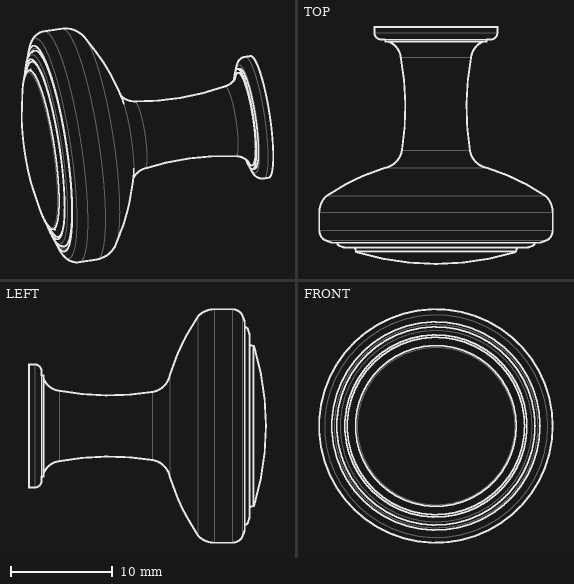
import cadquery as cq

total_length = 23.32

foot_radius = 6.06
foot_thickness = 1.25
foot_edge_round = 0.7
collar_radius = 5.0
collar_height = 0.2
collar_depth = foot_thickness + collar_height

flare_radius = 4.62
flare_bulge = 0.25
stem_back_radius = 3.47
stem_back_depth = 2.98
stem_front_radius = 3.35
stem_front_depth = 12.15
stem_waist = 0.4

head_back_radius = 5.04
head_back_depth = 13.85
back_bulge = 0.23
shoulder_radius = 10.77
shoulder_depth = 16.6
rim_radius = 11.5
rim_back_depth = 18.21
shoulder_bulge = 0.19
rim_front_depth = 19.99
bevel_outer_radius = 10.95
bevel_outer_depth = 20.96
bevel_inner_radius = 10.24
bevel_inner_depth = 21.25

lip_width = 0.23
lip_drop = 0.07
ring_radius = 9.75
ledge_depth = bevel_inner_depth - lip_drop
ring_edge_radius = 9.42
ring_edge_depth = 21.57
ring_edge_bulge = 0.1
ring_crest_radius = 8.95
ring_crest_depth = 21.73

groove_radius = ring_crest_radius - lip_width
groove_depth = ring_crest_depth - lip_drop
disc_radius = 7.9
disc_depth = 22.04
disc_edge_bulge = 0.02
dome_radius = 7.75
dome_depth = 22.18
groove_round = ((groove_radius - disc_radius) ** 2 + (disc_depth - groove_depth) ** 2) / (
    2 * (groove_radius - disc_radius)
)
dome_height = total_length - dome_depth
dome_curve_radius = (dome_radius**2 + dome_height**2) / (2 * dome_height)


def at(radius, depth):
    """Profile point at a distance from the axis and a depth from the mounting face."""
    return (radius, -depth)


def draw_foot(profile):
    return (
        profile.lineTo(*at(foot_radius, 0))
        .lineTo(*at(foot_radius, foot_thickness - foot_edge_round))
        .tangentArcPoint(at(foot_radius - foot_edge_round, foot_thickness), relative=False)
        .lineTo(*at(collar_radius, foot_thickness))
        .lineTo(*at(collar_radius, collar_depth))
    )


def draw_neck(profile):
    return (
        profile.lineTo(*at(flare_radius, collar_depth))
        .sagittaArc(at(stem_back_radius, stem_back_depth), -flare_bulge)
        .sagittaArc(at(stem_front_radius, stem_front_depth), -stem_waist)
        .tangentArcPoint(at(head_back_radius, head_back_depth), relative=False)
    )


def draw_head(profile):
    return (
        profile.sagittaArc(at(shoulder_radius, shoulder_depth), back_bulge)
        .sagittaArc(at(rim_radius, rim_back_depth), shoulder_bulge)
        .lineTo(*at(rim_radius, rim_front_depth))
        .tangentArcPoint(at(bevel_outer_radius, bevel_outer_depth), relative=False)
        .lineTo(*at(bevel_inner_radius, bevel_inner_depth))
    )


def draw_ring(profile):
    return (
        profile.lineTo(*at(bevel_inner_radius - lip_width, ledge_depth))
        .lineTo(*at(ring_radius, ledge_depth))
        .sagittaArc(at(ring_edge_radius, ring_edge_depth), ring_edge_bulge)
        .lineTo(*at(ring_crest_radius, ring_crest_depth))
        .lineTo(*at(groove_radius, groove_depth))
    )


def draw_dome(profile):
    groove_bottom = at(disc_radius + groove_round, disc_depth - groove_round)
    return (
        profile.threePointArc(groove_bottom, at(disc_radius, disc_depth))
        .sagittaArc(at(dome_radius, dome_depth), disc_edge_bulge)
        .radiusArc(at(0, total_length), dome_curve_radius)
    )


profile = cq.Workplane("XY").moveTo(*at(0, 0))
for draw_section in (draw_foot, draw_neck, draw_head, draw_ring, draw_dome):
    profile = draw_section(profile)

result = profile.close().revolve(360, (0, 0, 0), (0, 1, 0))